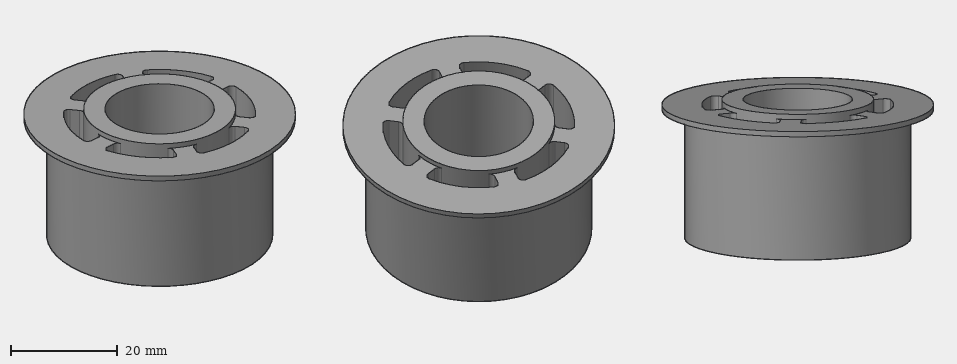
import cadquery as cq
import math

total_height = 27.5
hub_projection = 1.0
bore_diameter = 20.5
hub_diameter = 28.5
body_diameter = 42.5
flange_diameter = 51.0
flange_thickness = 1.0

rib_count = 6
rib_width = 4.0
pocket_outer_diameter = 36.0
pocket_corner_radius = 1.0
pocket_floor_thickness = 4.0

hub_radius = hub_diameter / 2
pocket_outer_radius = pocket_outer_diameter / 2
body_bottom = hub_projection
body_top = total_height - hub_projection
pocket_floor = body_bottom + pocket_floor_thickness
rib_pitch = 360 / rib_count
rib_angles = [rib_pitch * (index + 0.5) for index in range(rib_count)]


def ring(outer_diameter, inner_diameter, bottom, top):
    """Ring around the Z axis."""
    return (
        cq.Workplane("XY")
        .workplane(offset=bottom)
        .circle(outer_diameter / 2)
        .circle(inner_diameter / 2)
        .extrude(top - bottom)
    )


def make_rib(angle):
    """Radial rib at the given angle, with both ends buried in the walls it joins."""
    inner_end = (hub_diameter + bore_diameter) / 4
    outer_end = (pocket_outer_diameter + body_diameter) / 4
    return (
        cq.Workplane("XY")
        .workplane(offset=pocket_floor)
        .center((inner_end + outer_end) / 2, 0)
        .rect(outer_end - inner_end, rib_width)
        .extrude(body_top - pocket_floor)
        .rotate((0, 0, 0), (0, 0, 1), angle)
    )


def corner_edge(solid, wall_radius, angle, side):
    """Vertical edge where one face of the rib at the given angle meets a round wall."""
    corner_angle = math.radians(angle) + side * math.asin(rib_width / 2 / wall_radius)
    middle = (
        wall_radius * math.cos(corner_angle),
        wall_radius * math.sin(corner_angle),
        (pocket_floor + body_top) / 2,
    )
    return solid.edges("|Z").edges(cq.NearestToPointSelector(middle)).val()


body = ring(body_diameter, bore_diameter, body_bottom, body_top)
flange = ring(flange_diameter, bore_diameter, body_top - flange_thickness, body_top)
hub = ring(hub_diameter, bore_diameter, 0, total_height)
result = body.union(flange).union(hub)

result = result.cut(ring(pocket_outer_diameter, hub_diameter, pocket_floor, body_top))
for rib_angle in rib_angles:
    result = result.union(make_rib(rib_angle))

for wall_radius in (hub_radius, pocket_outer_radius):
    corners = [corner_edge(result, wall_radius, angle, side) for angle in rib_angles for side in (-1, 1)]
    result = result.newObject(corners).fillet(pocket_corner_radius)